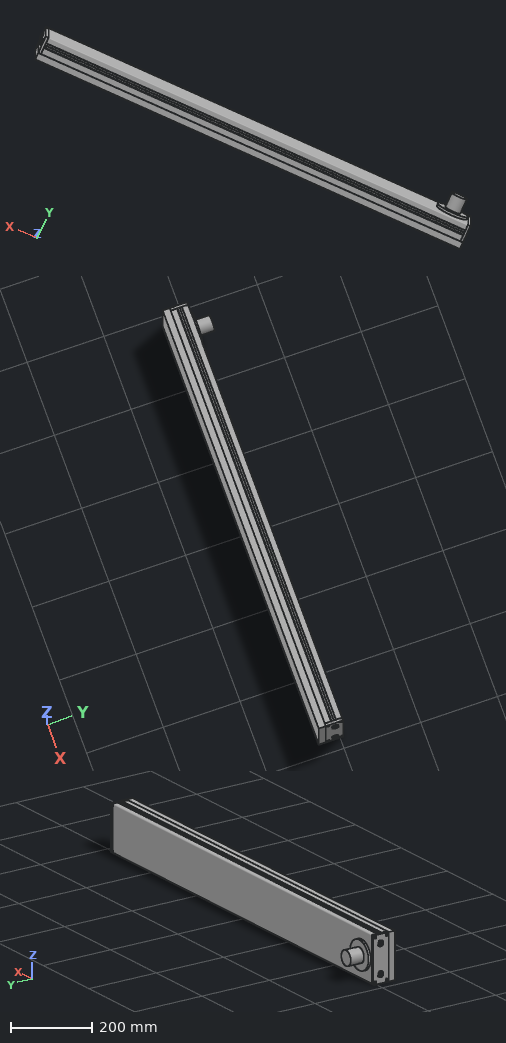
import cadquery as cq

BODY_LENGTH = 1147.0
HEIGHT = 130.0
BODY_DEPTH = 64.0
TOTAL_DEPTH = 110.0

WINDOW_THICKNESS = 18.0

CAP_THICKNESS = 7.5
CAP_DEPTH = BODY_DEPTH - WINDOW_THICKNESS
REAR_EDGE_RADIUS = 3.0

SEAT_SPACING = 80.0
SEAT_FROM_REAR = 22.0
SEAT_DIAMETER = 16.0
SEAT_DEPTH = 3.0
SCREW_HOLE_DIAMETER = 9.0
BOSS_HEIGHT = 3.0

CORNER_HOLE_DIAMETER = 7.0
CORNER_HOLE_INSET = 6.0

WIDE_GROOVE_FROM_REAR = 20.0
WIDE_GROOVE_WIDTH = 6.0
NARROW_GROOVE_FROM_REAR = 29.0
NARROW_GROOVE_WIDTH = 1.0
GROOVE_DEPTH = 5.0

MOUNT_FROM_END = 52.0
FLANGE_DIAMETER = 80.0
FLANGE_THICKNESS = 7.0
STUB_DIAMETER = 41.0

MID_HEIGHT = HEIGHT / 2
SEAT_Y = BODY_DEPTH - SEAT_FROM_REAR
SEAT_POINTS = [(SEAT_Y, MID_HEIGHT + side * SEAT_SPACING / 2) for side in (-1, 1)]
CORNER_POINTS = [
    (y, z)
    for y in (WINDOW_THICKNESS + CORNER_HOLE_INSET, BODY_DEPTH - CORNER_HOLE_INSET)
    for z in (CORNER_HOLE_INSET, HEIGHT - CORNER_HOLE_INSET)
]


def rear_block(x_start, length):
    """A length of the section behind the window, with rounded rear edges."""
    block = cq.Workplane("XY").box(length, CAP_DEPTH, HEIGHT, centered=False)
    block = block.edges("|X and >Y").fillet(REAR_EDGE_RADIUS)
    return block.translate((x_start, WINDOW_THICKNESS, 0))


def lengthwise_groove(from_rear, width, z_middle):
    """A cutter running the whole bar, centred on one face of the housing."""
    groove = cq.Workplane("XY").box(BODY_LENGTH, width, 2 * GROOVE_DEPTH, centered=(False, True, True))
    return groove.translate((0, BODY_DEPTH - from_rear, z_middle))


def make_window():
    return cq.Workplane("XY").box(BODY_LENGTH, WINDOW_THICKNESS, HEIGHT, centered=False)


def make_housing():
    housing = rear_block(CAP_THICKNESS, BODY_LENGTH - 2 * CAP_THICKNESS)
    for z_face in (0, HEIGHT):
        housing = housing.cut(lengthwise_groove(WIDE_GROOVE_FROM_REAR, WIDE_GROOVE_WIDTH, z_face))
        housing = housing.cut(lengthwise_groove(NARROW_GROOVE_FROM_REAR, NARROW_GROOVE_WIDTH, z_face))
    return housing


def rods(points, diameter, x_start, length):
    """Round bars along X at the given (y, z) points."""
    return (
        cq.Workplane("YZ", origin=(x_start, 0, 0)).pushPoints(points).circle(diameter / 2).extrude(length)
    )


def plain_cap(x_start):
    """An end plate with a through hole in each corner."""
    plate = rear_block(x_start, CAP_THICKNESS)
    return plate.cut(rods(CORNER_POINTS, CORNER_HOLE_DIAMETER, x_start, CAP_THICKNESS))


def make_left_cap():
    """The cap at the -X end, with two counterbored screw holes."""
    cap = plain_cap(0)
    cap = cap.cut(rods(SEAT_POINTS, SEAT_DIAMETER, 0, SEAT_DEPTH))
    return cap.cut(rods(SEAT_POINTS, SCREW_HOLE_DIAMETER, 0, CAP_THICKNESS))


def make_right_cap():
    """The cap at the +X end, with a round boss in line with each seat of the other cap."""
    x_start = BODY_LENGTH - CAP_THICKNESS
    bosses = rods(SEAT_POINTS, SEAT_DIAMETER, x_start, CAP_THICKNESS + BOSS_HEIGHT)
    return plain_cap(x_start).union(bosses)


def make_mount():
    rear_face = cq.Workplane("XZ", origin=(MOUNT_FROM_END, BODY_DEPTH, MID_HEIGHT))
    flange = rear_face.circle(FLANGE_DIAMETER / 2).extrude(-FLANGE_THICKNESS)
    stub = rear_face.circle(STUB_DIAMETER / 2).extrude(-(TOTAL_DEPTH - BODY_DEPTH))
    return flange.union(stub)


window = make_window()
housing = make_housing()
left_cap = make_left_cap()
right_cap = make_right_cap()
mount = make_mount()

result = cq.Compound.makeCompound(
    [window.val(), housing.val(), left_cap.val(), right_cap.val(), mount.val()]
)